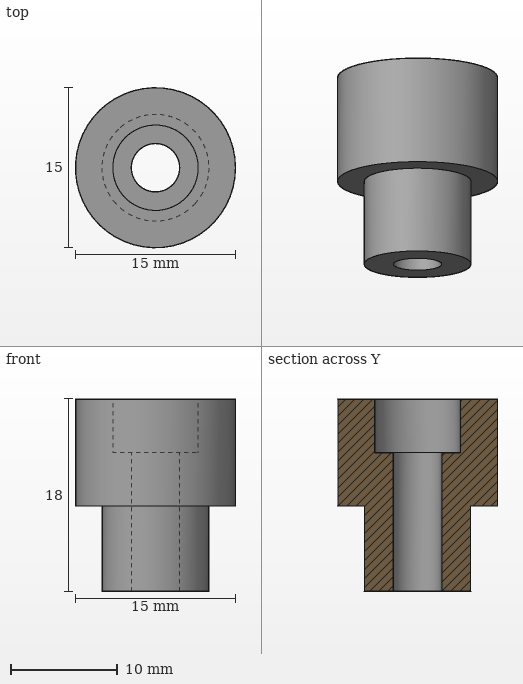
import cadquery as cq

total_height = 18.0
head_diameter = 15.0
head_height = 10.0
shank_diameter = 10.0
counterbore_diameter = 8.0
counterbore_depth = 5.0
through_hole_diameter = 4.5

shank_height = total_height - head_height


def cylinder(diameter, height, base_z):
    """Upright cylinder on the Z axis, starting at base_z."""
    return cq.Workplane("XY").workplane(offset=base_z).circle(diameter / 2).extrude(height)


shank = cylinder(shank_diameter, shank_height, 0)
head = cylinder(head_diameter, head_height, shank_height)
body = shank.union(head)

counterbore = cylinder(counterbore_diameter, counterbore_depth, total_height - counterbore_depth)
through_hole = cylinder(through_hole_diameter, total_height, 0)

result = body.cut(counterbore).cut(through_hole)